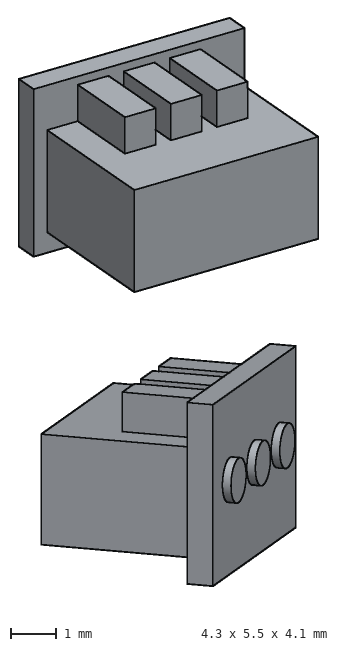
import cadquery as cq

flange_thickness = 0.6
flange_width = 5.5
flange_height = 4.1

block_length = 3.505
block_width = 4.795
block_height = 2.495
block_bottom = 0.505
block_top = block_bottom + block_height

key_count = 3
key_length = 1.9
key_width = 0.805
key_height = 0.89
key_pitch = 1.2

pin_count = 3
pin_diameter = 1.0
pin_length = 0.2
pin_pitch = 1.615
pin_height = 2.135


def centred_positions(count, pitch):
    """Y positions of equally spaced features, symmetric about Y = 0."""
    return [(index - (count - 1) / 2) * pitch for index in range(count)]


def make_box(length, width, height, x_start, y_centre, z_bottom):
    """Box extending along +X from x_start and up from z_bottom."""
    return (
        cq.Workplane("XY")
        .box(length, width, height, centered=(False, True, False))
        .translate((x_start, y_centre, z_bottom))
    )


def make_housing():
    """Flange, block and keys as one solid."""
    housing = make_box(flange_thickness, flange_width, flange_height, 0, 0, 0)
    block = make_box(block_length, block_width, block_height, flange_thickness, 0, block_bottom)
    housing = housing.union(block)
    for y in centred_positions(key_count, key_pitch):
        key = make_box(key_length, key_width, key_height, flange_thickness, y, block_top)
        housing = housing.union(key)
    return housing


def make_pin(y):
    """Round pin that rests on the flange and projects toward -X."""
    return (
        cq.Workplane("YZ")
        .center(y, pin_height)
        .circle(pin_diameter / 2)
        .extrude(-pin_length)
    )


housing = make_housing()
pins = [make_pin(y) for y in centred_positions(pin_count, pin_pitch)]

result = cq.Compound.makeCompound([housing.val(), *[pin.val() for pin in pins]])